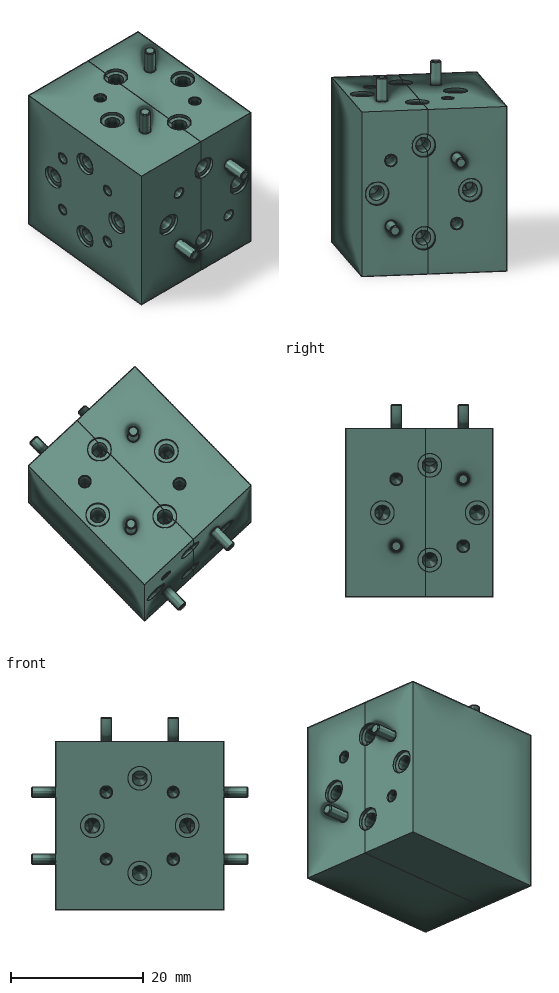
import cadquery as cq
import math

BLOCK_SIZE = 25.4
HALF_SIZE = BLOCK_SIZE / 2
GUIDE_WIDTH = 2.54
GUIDE_HEIGHT = GUIDE_WIDTH / 2
GUIDE_AXIS_Y = GUIDE_HEIGHT / 2
BACK_WALL = 9.525
FRONT_Y = GUIDE_AXIS_Y - HALF_SIZE
BACK_Y = GUIDE_AXIS_Y + BACK_WALL
PORT_FACE_DEPTH = 1.0

BOLT_CIRCLE_RADIUS = 14.288 / 2
DIAGONAL_OFFSET = BOLT_CIRCLE_RADIUS * math.sqrt(0.5)
DRILL_POINT_ANGLE = 118.0
SCREW_HOLE_DIAMETER = 2.26
SCREW_HOLE_DEPTH = 5.08
COUNTERBORE_DIAMETER = 3.57
COUNTERBORE_DEPTH = 0.508
PIN_DIAMETER = 1.588
ALIGNMENT_HOLE_DIAMETER = 1.70
SMALL_HOLE_DEPTH = 5.08
HOLE_CHAMFER = 0.115

PIN_PROJECTION = 3.62
PIN_CHAMFER = 0.15

FRONT_FLANGE = cq.Plane((0, FRONT_Y, 0), xDir=(1, 0, 0), normal=(0, -1, 0))
TOP_FLANGE = cq.Plane((0, GUIDE_AXIS_Y, HALF_SIZE), xDir=(1, 0, 0), normal=(0, 0, 1))
LEFT_FLANGE = cq.Plane((-HALF_SIZE, GUIDE_AXIS_Y, 0), xDir=(0, 0, 1), normal=(-1, 0, 0))
RIGHT_FLANGE = cq.Plane((HALF_SIZE, GUIDE_AXIS_Y, 0), xDir=(0, 0, -1), normal=(1, 0, 0))
PORT_FLANGES = [TOP_FLANGE, LEFT_FLANGE, RIGHT_FLANGE]

SCREW_POINTS = [
    (BOLT_CIRCLE_RADIUS, 0),
    (0, BOLT_CIRCLE_RADIUS),
    (-BOLT_CIRCLE_RADIUS, 0),
    (0, -BOLT_CIRCLE_RADIUS),
]
PIN_POINTS = [(-DIAGONAL_OFFSET, DIAGONAL_OFFSET), (DIAGONAL_OFFSET, -DIAGONAL_OFFSET)]
ALIGNMENT_POINTS = [(DIAGONAL_OFFSET, DIAGONAL_OFFSET), (-DIAGONAL_OFFSET, -DIAGONAL_OFFSET)]


def revolved_about_normal(flange, points, profile):
    """Revolve a (radius, height) profile about the flange normal at each of the points."""
    shape = cq.Workplane("XZ").polyline(profile).close().revolve(360, (0, 0), (0, 1)).val()
    return cq.Workplane(flange).pushPoints(points).eachpoint(lambda place: shape.moved(place), True)


def drilled_holes(flange, points, diameter, depth, mouth):
    """Drill-pointed holes, `mouth` being the profile corners where the hole meets the face."""
    radius = diameter / 2
    point_depth = radius / math.tan(math.radians(DRILL_POINT_ANGLE / 2))
    profile = [(0, 0), *mouth, (radius, -depth), (0, -depth - point_depth)]
    return revolved_about_normal(flange, points, profile)


def screw_holes(flange):
    counterbore_radius = COUNTERBORE_DIAMETER / 2
    mouth = [
        (counterbore_radius, 0),
        (counterbore_radius, -COUNTERBORE_DEPTH),
        (SCREW_HOLE_DIAMETER / 2, -COUNTERBORE_DEPTH),
    ]
    return drilled_holes(flange, SCREW_POINTS, SCREW_HOLE_DIAMETER, SCREW_HOLE_DEPTH, mouth)


def chamfered_holes(flange, points, diameter):
    radius = diameter / 2
    mouth = [(radius + HOLE_CHAMFER, 0), (radius, -HOLE_CHAMFER)]
    return drilled_holes(flange, points, diameter, SMALL_HOLE_DEPTH, mouth)


def flange_holes(flange, pin_points, alignment_points):
    return (
        screw_holes(flange).vals()
        + chamfered_holes(flange, pin_points, PIN_DIAMETER).vals()
        + chamfered_holes(flange, alignment_points, ALIGNMENT_HOLE_DIAMETER).vals()
    )


def half_block(y_start, y_end):
    block = cq.Workplane("XY").box(BLOCK_SIZE, y_end - y_start, BLOCK_SIZE)
    return block.translate((0, (y_start + y_end) / 2, 0))


def with_port_outline(block, flange):
    """Close the waveguide port flush with the flange, keeping its outline as a face of its own."""
    port = cq.Workplane(flange).rect(GUIDE_WIDTH, GUIDE_HEIGHT).extrude(-PORT_FACE_DEPTH)
    return block.cut(port, clean=False).union(port, clean=False)


def drilled(block, holes):
    for hole in holes:
        block = block.cut(cq.Workplane(hole), clean=False)
    return block


def dowel_pins(flange):
    """Pins seated on the shoulder above the drill point of their holes, with a chamfered outer end."""
    radius = PIN_DIAMETER / 2
    profile = [
        (0, -SMALL_HOLE_DEPTH),
        (radius, -SMALL_HOLE_DEPTH),
        (radius, PIN_PROJECTION - PIN_CHAMFER),
        (radius - PIN_CHAMFER, PIN_PROJECTION),
        (0, PIN_PROJECTION),
    ]
    return revolved_about_normal(flange, PIN_POINTS, profile)


holes = flange_holes(FRONT_FLANGE, ALIGNMENT_POINTS, PIN_POINTS)
for flange in PORT_FLANGES:
    holes = holes + flange_holes(flange, PIN_POINTS, ALIGNMENT_POINTS)

front_block = drilled(half_block(FRONT_Y, 0), holes)

back_block = half_block(0, BACK_Y)
for flange in PORT_FLANGES:
    back_block = with_port_outline(back_block, flange)
back_block = drilled(back_block, holes)

pins = []
for flange in PORT_FLANGES:
    pins.extend(dowel_pins(flange).vals())

result = cq.Compound.makeCompound([front_block.val(), back_block.val(), *pins])